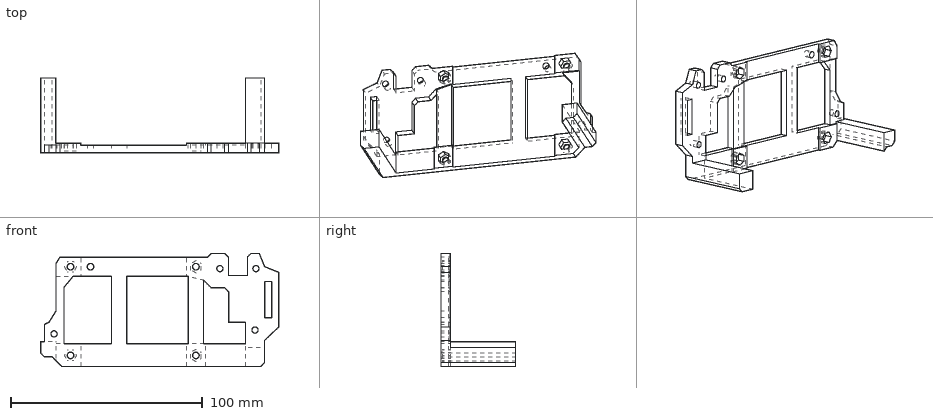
import cadquery as cq
import math

LENGTH = 124.15
HEIGHT = 59.0
DEPTH = 39.0
PLATE_THICKNESS = 5.0
RECESS_FLOOR = 4.0

BODY_LEFT = 8.0
BODY_RIGHT = 116.7
EDGE_RIGHT = 124.1
BODY_TOP = 57.0
TAB_LEFT = 2.0
TAB_TOP = 22.0
CORNER_CHAMFER = 2.0
FOOT_BOTTOM = 5.0
FOOT_RIGHT = 6.0
BOTTOM_RIGHT_CORNER = 114.7
TAB_SHOULDER = (4.4, 23.2)
SHOULDER_TOP = 29.0
LEFT_CORNER_START = 53.7
FLARE_BOTTOM = 13.6
FLARE_TOP = 20.6
TIP_BOTTOM = 48.4
TIP_TOP = 49.1
RIGHT_EAR_FOOT = (116.7, 52.1)

LEFT_LEG_TOP = 13.0
RIGHT_LEG_LEFT = 106.7
RIGHT_LEG_TOP = 10.0

WINDOW_BOTTOM = 12.0
WINDOW_TOP = 47.0
LEFT_WINDOW = (12.2, 36.9)
LEFT_WINDOW_CORNER = (17.0, 41.2)
MIDDLE_WINDOW = (44.9, 76.9)
RIGHT_WINDOW_LEFT = 84.9
RIGHT_WINDOW_PEAK = 45.0
RIGHT_WINDOW_STEP = 23.0

NOTCH_LEFT = 97.9
NOTCH_RIGHT = 107.7
NOTCH_BOTTOM = 47.5
EAR_LEFT = 86.9
EAR_BOTTOM = 41.0
RIGHT_EAR_TOP_END = 114.0

SLOT_LEFT, SLOT_RIGHT = 116.9, 120.3
SLOT_BOTTOM, SLOT_TOP = 25.5, 44.3

NUT_HOLE_DIAMETER = 3.3
NUT_ACROSS_FLATS = 5.5
NUT_POCKET_START = 1.0
POCKET_CORNER_ALONG_X = 0
POCKET_FLAT_ALONG_Z = 30
NUT_HOLE_LEFT_X, NUT_HOLE_RIGHT_X = 15.6, 80.9
NUT_HOLE_BOTTOM_Z, NUT_HOLE_TOP_Z = 5.8, 52.0
EXTRA_HOLE_DIAMETER = 3.3
EXTRA_HOLE = (26.0, NUT_HOLE_TOP_Z)
TAB_HOLE_DIAMETER = 3.1
TAB_HOLES = [(7.0, 17.0), (93.4, 51.0), (112.2, 51.0), (111.7, 19.0)]

PAD_LEFT_END = 21.0
PAD_RIGHT_START = 75.9
LOWER_RIGHT_PAD_END = 2 * NUT_HOLE_RIGHT_X - PAD_RIGHT_START


def prism(points, y_start, y_end):
    """Extrude an XZ outline from y_start to y_end."""
    return cq.Workplane("XZ", origin=(0, y_start, 0)).polyline(points).close().extrude(y_start - y_end)


def box(x_range, y_range, z_range):
    """Axis-aligned block from its X, Y and Z limits."""
    (x0, x1), (y0, y1), (z0, z1) = x_range, y_range, z_range
    return cq.Workplane("XY").box(x1 - x0, y1 - y0, z1 - z0, centered=False).translate((x0, y0, z0))


def round_holes(points, diameter):
    """Cylinders along Y that pass through the plate."""
    return cq.Workplane("XZ").pushPoints(points).circle(diameter / 2).extrude(-PLATE_THICKNESS)


def outline_prism(depth):
    """The plate's outer outline, extruded back from the front face."""
    c = CORNER_CHAMFER
    points = [
        (BOTTOM_RIGHT_CORNER, 0),
        (BODY_RIGHT, c),
        (BODY_RIGHT, FLARE_BOTTOM),
        (EDGE_RIGHT, FLARE_TOP),
        (EDGE_RIGHT, TIP_BOTTOM),
        (LENGTH, TIP_TOP),
        RIGHT_EAR_FOOT,
        (RIGHT_EAR_TOP_END, HEIGHT),
        (NOTCH_RIGHT + c, HEIGHT),
        (NOTCH_RIGHT, HEIGHT - c),
        (NOTCH_RIGHT, NOTCH_BOTTOM),
        (NOTCH_LEFT, NOTCH_BOTTOM),
        (NOTCH_LEFT, HEIGHT - c),
        (NOTCH_LEFT - c, HEIGHT),
        (EAR_LEFT + c, HEIGHT),
        (EAR_LEFT, BODY_TOP),
        (BODY_LEFT + c, BODY_TOP),
        (BODY_LEFT, LEFT_CORNER_START),
        (BODY_LEFT, SHOULDER_TOP),
        TAB_SHOULDER,
        (TAB_LEFT, TAB_TOP),
        (TAB_LEFT, LEFT_LEG_TOP),
        (0, LEFT_LEG_TOP),
        (0, FOOT_BOTTOM + c),
        (c, FOOT_BOTTOM),
        (FOOT_RIGHT, FOOT_BOTTOM),
        (FOOT_RIGHT + FOOT_BOTTOM, 0),
    ]
    return prism(points, 0, depth)


def windows():
    """Three openings through the plate."""
    left, right = LEFT_WINDOW
    corner_x, corner_z = LEFT_WINDOW_CORNER
    left_points = [
        (left, WINDOW_BOTTOM),
        (right, WINDOW_BOTTOM),
        (right, WINDOW_TOP),
        (corner_x, WINDOW_TOP),
        (left, corner_z),
    ]
    c = CORNER_CHAMFER
    right_points = [
        (RIGHT_WINDOW_LEFT, WINDOW_BOTTOM),
        (RIGHT_LEG_LEFT, WINDOW_BOTTOM),
        (RIGHT_LEG_LEFT, RIGHT_WINDOW_STEP),
        (NOTCH_LEFT, RIGHT_WINDOW_STEP),
        (NOTCH_LEFT, EAR_BOTTOM - c),
        (NOTCH_LEFT - c, EAR_BOTTOM),
        (EAR_LEFT + c, EAR_BOTTOM),
        (RIGHT_WINDOW_LEFT, RIGHT_WINDOW_PEAK),
    ]
    middle = box(MIDDLE_WINDOW, (0, PLATE_THICKNESS), (WINDOW_BOTTOM, WINDOW_TOP))
    left_opening = prism(left_points, 0, PLATE_THICKNESS)
    right_opening = prism(right_points, 0, PLATE_THICKNESS)
    return left_opening.union(middle).union(right_opening)


def back_recess():
    """Shallow recess in the back face that leaves the four nut pads standing."""
    span = (RECESS_FLOOR, PLATE_THICKNESS)
    across_top_and_bottom = box((PAD_LEFT_END, PAD_RIGHT_START), span, (0, HEIGHT))
    band = [
        (0, WINDOW_BOTTOM),
        (RIGHT_WINDOW_LEFT, WINDOW_BOTTOM),
        (RIGHT_WINDOW_LEFT, RIGHT_WINDOW_PEAK),
        (MIDDLE_WINDOW[1], WINDOW_TOP),
        (0, WINDOW_TOP),
    ]
    below_right_window = box((LOWER_RIGHT_PAD_END, RIGHT_LEG_LEFT), span, (0, WINDOW_BOTTOM))
    return across_top_and_bottom.union(prism(band, *span)).union(below_right_window)


def nut_hole(x, z, first_corner_angle):
    """Screw hole with a hexagonal nut pocket open to the back."""
    across_corners = NUT_ACROSS_FLATS / math.cos(math.pi / 6)
    pocket = (
        cq.Workplane("XZ", origin=(x, NUT_POCKET_START, z))
        .transformed(rotate=(0, 0, first_corner_angle))
        .polygon(6, across_corners)
        .extrude(NUT_POCKET_START - PLATE_THICKNESS)
    )
    return round_holes([(x, z)], NUT_HOLE_DIAMETER).union(pocket)


def legs():
    """Two legs that run back from the lower corners and share the plate's outline."""
    left = box((0, BODY_LEFT), (0, DEPTH), (0, LEFT_LEG_TOP))
    right = box((RIGHT_LEG_LEFT, BODY_RIGHT), (0, DEPTH), (0, RIGHT_LEG_TOP))
    return outline_prism(DEPTH).intersect(left.union(right))


slot = box((SLOT_LEFT, SLOT_RIGHT), (0, PLATE_THICKNESS), (SLOT_BOTTOM, SLOT_TOP))

result = outline_prism(PLATE_THICKNESS).cut(windows()).cut(slot).cut(back_recess())
result = result.union(legs())
result = result.cut(round_holes([EXTRA_HOLE], EXTRA_HOLE_DIAMETER))
result = result.cut(round_holes(TAB_HOLES, TAB_HOLE_DIAMETER))
for hole_z in (NUT_HOLE_BOTTOM_Z, NUT_HOLE_TOP_Z):
    result = result.cut(nut_hole(NUT_HOLE_LEFT_X, hole_z, POCKET_CORNER_ALONG_X))
    result = result.cut(nut_hole(NUT_HOLE_RIGHT_X, hole_z, POCKET_FLAT_ALONG_Z))